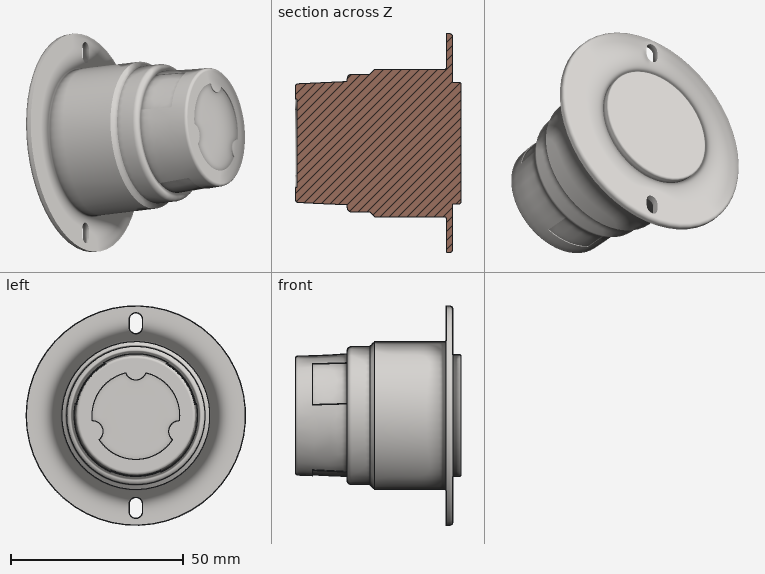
import cadquery as cq
import math


overall_length = 47.98
recess_start = 5.0
collar_start = 14.95
collar_end = 21.55
flange_start = 43.6
flange_thickness = 2.0
flange_end = flange_start + flange_thickness

nose_tip_radius = 17.25
nose_root_radius = 17.9
collar_radius = 20.0
body_radius = 21.4
flange_radius = 63.5 / 2
hub_radius = 17.65

nose_fillet = 0.8
collar_fillet = 1.35
flange_root_fillet = 0.4
flange_rim_fillet = flange_thickness / 2
hub_fillet = 0.55
body_start = collar_end + body_radius - collar_radius

recess_angles = (35, 145, 270)
recess_width = 14.4
recess_depth = 0.25

pocket_radius = 12.7
pocket_depth = 0.4
key_angles = (90, 200, 340)
key_radius = 3.1
key_center_radius = 13.4

slot_width = 3.8
slot_length = 6.0
slot_center_radius = 26.7


def revolve_about_x(profile):
    return profile.close().revolve(360, (0, 0, 0), (1, 0, 0))


def convex_fillet(sketch, corner_x, corner_radius, size, start_at_face):
    """Round an outer corner, turning from an end face to the wall or from the wall to an end face."""
    inward = 1 if start_at_face else -1
    center_x = corner_x + inward * size
    center_radius = corner_radius - size
    offset = size * math.sqrt(0.5)
    middle = (center_x - inward * offset, center_radius + offset)
    on_face = (corner_x, center_radius)
    on_wall = (center_x, corner_radius)
    if start_at_face:
        return sketch.lineTo(*on_face).threePointArc(middle, on_wall)
    return sketch.lineTo(*on_wall).threePointArc(middle, on_face)


def make_body():
    profile = cq.Workplane("XY").moveTo(0, 0)
    profile = convex_fillet(profile, 0, nose_tip_radius, nose_fillet, True)
    profile = profile.lineTo(collar_start, nose_root_radius)
    profile = convex_fillet(profile, collar_start, collar_radius, collar_fillet, True)
    profile = profile.lineTo(collar_end, collar_radius).lineTo(body_start, body_radius)
    profile = profile.lineTo(flange_start - flange_root_fillet, body_radius)
    root_offset = flange_root_fillet * math.sqrt(0.5)
    root_middle = (
        flange_start - flange_root_fillet + root_offset,
        body_radius + flange_root_fillet - root_offset,
    )
    profile = profile.threePointArc(root_middle, (flange_start, body_radius + flange_root_fillet))
    profile = profile.lineTo(flange_start, flange_radius)
    profile = convex_fillet(profile, flange_end, flange_radius, flange_rim_fillet, False)
    profile = profile.lineTo(flange_end, hub_radius)
    profile = convex_fillet(profile, overall_length, hub_radius, hub_fillet, False)
    return revolve_about_x(profile.lineTo(overall_length, 0))


def nose_wall_radius(x):
    taper = (nose_root_radius - nose_tip_radius) / (collar_start - nose_fillet)
    return nose_tip_radius + taper * (x - nose_fillet)


def make_recess_cutters():
    """Shallow ring around the taper, kept only inside a parallel-sided block at each angle."""
    recess_length = collar_start - recess_start
    floor_start = nose_wall_radius(recess_start) - recess_depth
    floor_end = nose_root_radius - recess_depth
    ring = revolve_about_x(
        cq.Workplane("XY")
        .moveTo(recess_start, floor_start)
        .lineTo(collar_start, floor_end)
        .lineTo(collar_start, collar_radius)
        .lineTo(recess_start, collar_radius)
    )
    block = cq.Workplane("XY").box(
        recess_length, collar_radius, recess_width, centered=(False, False, True)
    ).translate((recess_start, -collar_radius, 0))
    segment = ring.intersect(block)
    return [segment.rotate((0, 0, 0), (1, 0, 0), -angle) for angle in recess_angles]


def make_pocket():
    pocket = cq.Workplane("YZ").circle(pocket_radius).extrude(pocket_depth)
    for angle in key_angles:
        key_y = -key_center_radius * math.cos(math.radians(angle))
        key_z = key_center_radius * math.sin(math.radians(angle))
        key = cq.Workplane("YZ").center(key_y, key_z).circle(key_radius).extrude(pocket_depth)
        pocket = pocket.cut(key)
    return pocket


def make_flange_slots():
    return (
        cq.Workplane("YZ", origin=(flange_start, 0, 0))
        .pushPoints([(0, slot_center_radius), (0, -slot_center_radius)])
        .slot2D(slot_length, slot_width, 90)
        .extrude(flange_thickness)
    )


result = make_body()
for recess in make_recess_cutters():
    result = result.cut(recess)
result = result.cut(make_pocket()).cut(make_flange_slots())